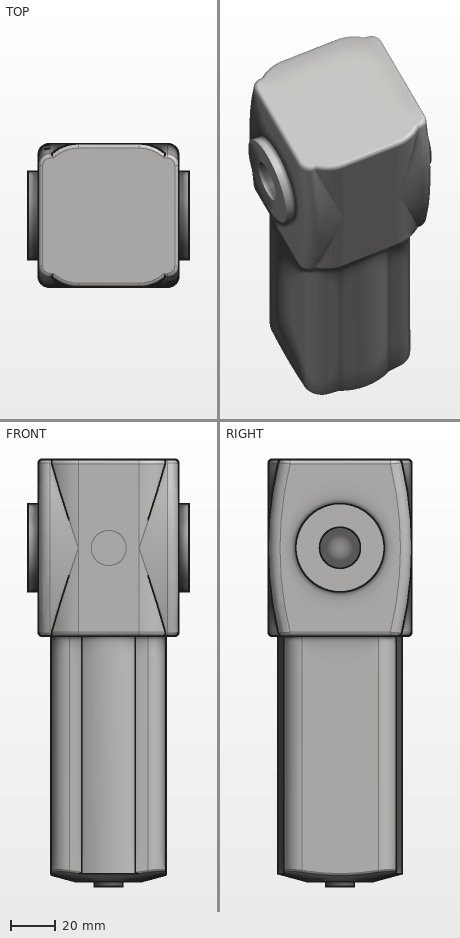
import cadquery as cq
import math

TOTAL_HEIGHT = 193.5
PORT_SPAN = 73.0
PORT_DIAMETER = 40.0
PORT_BORE_DIAMETER = 18.5
PORT_BORE_DEPTH = 19.3

HEAD_WIDTH = 63.6
HEAD_DEPTH = 65.0
HEAD_HEIGHT = 80.0
HEAD_FLAT_WIDTH = 27.5
HEAD_CORNER_RADIUS = 18.4
BARREL_RADIUS = 166.4
BARREL_EDGE_RADIUS = 5.2
HEAD_RIM_RADIUS = 2.0
PLUG_DIAMETER = 15.9
PLUG_LENGTH = 3.9

BOWL_WIDTH = 52.2
BOWL_DEPTH = 51.0
BOWL_CORNER_RADIUS = 8.3
BOWL_BULGE_DIAMETER = 56.5
BOWL_RIM_RADIUS = 1.0
BOTTOM_FLAT_DIAMETER = 28.8
BOTTOM_SLOPE_DEGREES = 15.0
DRAIN_DIAMETER = 13.0
DRAIN_LENGTH = 2.1

HEAD_TOP = HEAD_HEIGHT / 2
HEAD_BOTTOM = -HEAD_HEIGHT / 2
DRAIN_BOTTOM = HEAD_TOP - TOTAL_HEIGHT
BOWL_BOTTOM = DRAIN_BOTTOM + DRAIN_LENGTH
BOWL_HEIGHT = HEAD_BOTTOM - BOWL_BOTTOM


def soft_corner_block():
    """Upright block with flat faces and large vertical corner arcs."""
    half_x = HEAD_WIDTH / 2
    half_y = HEAD_DEPTH / 2
    half_flat = HEAD_FLAT_WIDTH / 2
    arc_centre_y = half_y - HEAD_CORNER_RADIUS
    side_y = arc_centre_y + math.sqrt(HEAD_CORNER_RADIUS**2 - (half_x - half_flat) ** 2)
    return (
        cq.Workplane("XY", origin=(0, 0, HEAD_BOTTOM))
        .moveTo(-half_flat, half_y)
        .lineTo(half_flat, half_y)
        .radiusArc((half_x, side_y), HEAD_CORNER_RADIUS)
        .lineTo(half_x, -side_y)
        .radiusArc((half_flat, -half_y), HEAD_CORNER_RADIUS)
        .lineTo(-half_flat, -half_y)
        .radiusArc((-half_x, -side_y), HEAD_CORNER_RADIUS)
        .lineTo(-half_x, side_y)
        .radiusArc((-half_flat, half_y), HEAD_CORNER_RADIUS)
        .close()
        .extrude(HEAD_HEIGHT)
    )


def barrel_block():
    """Block whose front and back bow outwards at the port axis."""
    half_y = HEAD_DEPTH / 2
    end_y = half_y - BARREL_RADIUS + math.sqrt(BARREL_RADIUS**2 - HEAD_TOP**2)
    return (
        cq.Workplane("YZ", origin=(-HEAD_WIDTH / 2, 0, 0))
        .moveTo(-end_y, HEAD_TOP)
        .lineTo(end_y, HEAD_TOP)
        .threePointArc((half_y, 0), (end_y, HEAD_BOTTOM))
        .lineTo(-end_y, HEAD_BOTTOM)
        .threePointArc((-half_y, 0), (-end_y, HEAD_TOP))
        .close()
        .extrude(HEAD_WIDTH)
        .faces("<X or >X")
        .edges("not #Z")
        .fillet(BARREL_EDGE_RADIUS)
    )


def make_head():
    head = soft_corner_block().union(barrel_block())
    return head.faces("<Z or >Z").edges().fillet(HEAD_RIM_RADIUS)


def make_bowl():
    """Rounded bowl with bulging front and back and a conical underside."""
    base = cq.Workplane("XY", origin=(0, 0, BOWL_BOTTOM))
    walls = base.rect(BOWL_WIDTH, BOWL_DEPTH).extrude(BOWL_HEIGHT)
    walls = walls.edges("|Z").fillet(BOWL_CORNER_RADIUS)
    bulge = base.circle(BOWL_BULGE_DIAMETER / 2).extrude(BOWL_HEIGHT)
    bulge = bulge.intersect(base.rect(BOWL_WIDTH, BOWL_BULGE_DIAMETER).extrude(BOWL_HEIGHT))

    flat_radius = BOTTOM_FLAT_DIAMETER / 2
    envelope_radius = BOWL_WIDTH
    bevel_rise = (envelope_radius - flat_radius) * math.tan(math.radians(BOTTOM_SLOPE_DEGREES))
    envelope = (
        cq.Workplane("XZ")
        .moveTo(0, BOWL_BOTTOM)
        .lineTo(flat_radius, BOWL_BOTTOM)
        .lineTo(envelope_radius, BOWL_BOTTOM + bevel_rise)
        .lineTo(envelope_radius, HEAD_BOTTOM)
        .lineTo(0, HEAD_BOTTOM)
        .close()
        .revolve(360, (0, 0, 0), (0, 1, 0))
    )
    bowl = walls.union(bulge).intersect(envelope)
    underside_rim = bowl.faces("%CONE").edges("not %CIRCLE")
    return underside_rim.fillet(BOWL_RIM_RADIUS)


def make_drain():
    return cq.Workplane("XY", origin=(0, 0, DRAIN_BOTTOM)).circle(DRAIN_DIAMETER / 2).extrude(DRAIN_LENGTH)


def add_ports(body):
    """Round inlet and outlet bosses with blind bores at both ends of the port axis."""
    end_plane = cq.Workplane("YZ", origin=(-PORT_SPAN / 2, 0, 0))
    bosses = end_plane.circle(PORT_DIAMETER / 2).extrude(PORT_SPAN)
    body = body.union(bosses)
    for side in ("<X", ">X"):
        body = body.faces(side).workplane(origin=(0, 0, 0)).hole(PORT_BORE_DIAMETER, PORT_BORE_DEPTH)
    return body


def add_plug(body):
    """Flush round plug in the front face, kept as a separate face."""
    plug = (
        cq.Workplane("XZ", origin=(0, -HEAD_DEPTH / 2, 0))
        .circle(PLUG_DIAMETER / 2)
        .extrude(-PLUG_LENGTH)
    )
    return body.cut(plug).union(plug, clean=False)


body = make_head().union(make_bowl()).union(make_drain())
result = add_plug(add_ports(body))